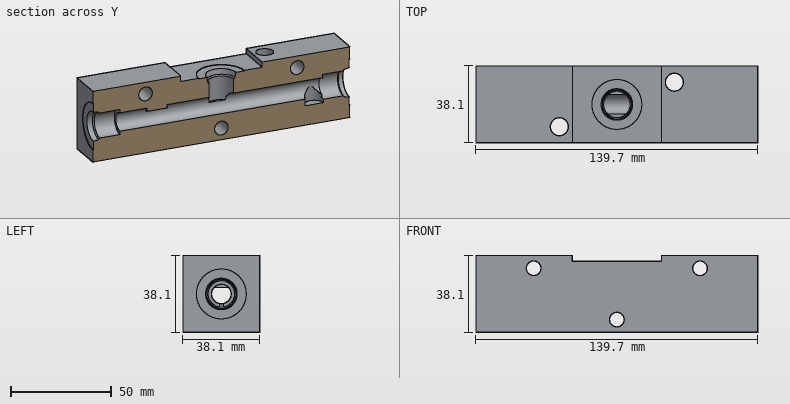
import cadquery as cq
import math

length = 139.7
width = 38.1
height = 38.1
half_length = length / 2
half_height = height / 2

step_length = 44.1
step_depth = 2.8

spotface_diameter = 24.7
spotface_depth = 0.3
seat_diameter = 15.6
seat_depth = 2.8
seat_half_angle = 12.0
drill_diameter = 13.1
end_drill_depth = 14.7

bore_diameter = 9.6

relief_diameter = bore_diameter
relief_opening = 2.0
relief_depth = 8.4

stop_diameter = 11.2
stop_bottom = 3.1
stop_x = half_length / 2

side_hole_diameter = 7.1
side_hole_x = 41.2
side_hole_z = 12.7
top_hole_diameter = 8.8
top_hole_x = 28.5
top_hole_y = 11.0


def port_cutter(entry, inward, drill_depth):
    """Port void that starts at the point entry and runs along the direction inward."""
    seat_bottom = spotface_depth + seat_depth
    seat_radius = seat_diameter / 2
    throat_radius = seat_radius - seat_depth * math.tan(math.radians(seat_half_angle))
    drill_radius = drill_diameter / 2
    chamfer_bottom = seat_bottom + throat_radius - drill_radius
    half_section = (
        cq.Workplane("XZ")
        .moveTo(0, 0)
        .lineTo(spotface_diameter / 2, 0)
        .lineTo(spotface_diameter / 2, spotface_depth)
        .lineTo(seat_radius, spotface_depth)
        .lineTo(throat_radius, seat_bottom)
        .lineTo(drill_radius, chamfer_bottom)
        .lineTo(drill_radius, drill_depth)
        .lineTo(0, drill_depth)
        .close()
    )
    upright = half_section.revolve(360, (0, 0, 0), (0, 1, 0)).val()
    return upright.moved(cq.Location(cq.Plane(origin=entry, normal=inward)))


def round_bar(start, direction, bar_length, diameter):
    """Cylinder that starts at the point start and runs along direction."""
    return cq.Solid.makeCylinder(diameter / 2, bar_length, cq.Vector(*start), cq.Vector(*direction))


body = cq.Workplane("XY").box(length, width, height)
step_floor = half_height - step_depth
step = cq.Workplane("XY").box(step_length, width, step_depth, centered=(True, True, False))
body = body.cut(step.translate((0, 0, step_floor)))

flow_bore = round_bar((-half_length, 0, 0), (1, 0, 0), length, bore_diameter)
stop = round_bar((stop_x, 0, stop_bottom), (0, 0, 1), bore_diameter / 2, stop_diameter)
body = body.cut(cq.Workplane(flow_bore.cut(stop)))

body = body.cut(cq.Workplane(port_cutter((-half_length, 0, 0), (1, 0, 0), end_drill_depth)))
body = body.cut(cq.Workplane(port_cutter((half_length, 0, 0), (-1, 0, 0), end_drill_depth)))
body = body.cut(cq.Workplane(port_cutter((0, 0, step_floor), (0, 0, -1), step_floor)))

drill_floor_x = end_drill_depth - half_length
relief_x = drill_floor_x + math.sqrt((relief_diameter / 2) ** 2 - (relief_opening / 2) ** 2)
relief = round_bar((relief_x, 0, 0), (0, 0, -1), relief_depth, relief_diameter)
body = body.cut(cq.Workplane(relief))

for x, z in ((-side_hole_x, side_hole_z), (side_hole_x, side_hole_z), (0, -side_hole_z)):
    body = body.cut(cq.Workplane(round_bar((x, -width / 2, z), (0, 1, 0), width, side_hole_diameter)))

for side in (-1, 1):
    start = (side * top_hole_x, side * top_hole_y, -half_height)
    body = body.cut(cq.Workplane(round_bar(start, (0, 0, 1), height, top_hole_diameter)))

result = body